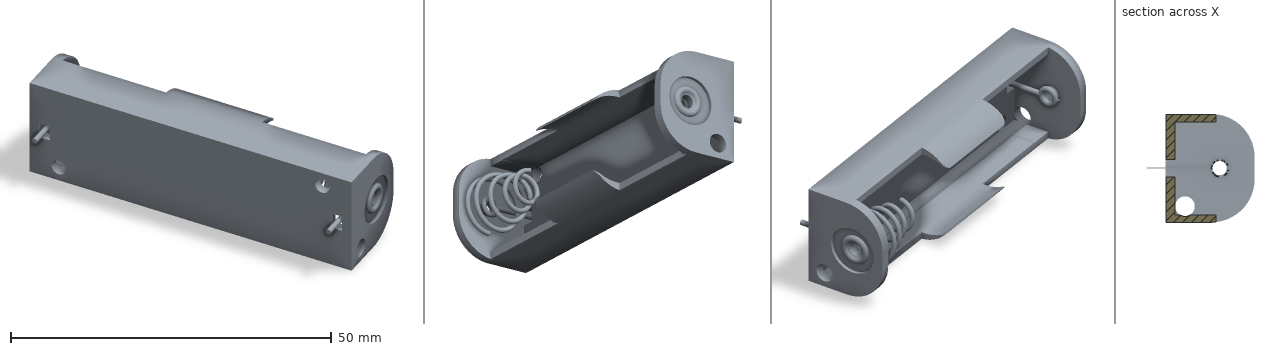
import cadquery as cq
import math


length = 57.0
height = 13.9
width = 16.89
corner_radius = 6.73
wall = 1.65
rim_height = 7.85
trough_radius = 7.2
trough_axis_y = 8.25
floor = 1.5
axis_y = width / 2

clip_length = 17.0
clip_height = 12.53
clip_start = 20.0
clip_corner = 1.2

screw_diameter = 2.55
screw_inset = 5.2
screw_offset = 6.0
wire_hole_diameter = 3.05
wire_hole_y = 3.03
wire_hole_z = -5.94
recess_diameter = 8.0
recess_depth = 0.6
slot_length = 2.0
slot_width = 2.65

pin_diameter = 0.9
pin_radius = pin_diameter / 2
pin_x = 2.5
pin_length = 3.0
ring_radius = 1.3
barb_top = axis_y + 2.4
barb_radius = 0.25

barrel_radius = 1.4
bore_radius = 1.1
head_radius = 2.5
head_crest_radius = 1.95
head_height = 0.55
funnel_radius = 1.4
funnel_depth = 0.2

wire_diameter = 0.8
small_radius = 2.5
large_radius = 4.4
turns = 4.5
open_from = 0.5
open_to = 3.75
closed_pitch = 2.0
open_pitch = 2.7
taper_from = 1.05
taper_to = 3.2
points_per_turn = 16


def block(x0, x1, y0, y1, z_size):
    """Box between two X and two Y values, centered on Z = 0."""
    return cq.Workplane("XY").box(x1 - x0, y1 - y0, z_size).translate(((x0 + x1) / 2, (y0 + y1) / 2, 0))


def rod_x(x0, x1, y, z, radius):
    """Cylinder along X."""
    return cq.Workplane("YZ", origin=(x0, y, z)).circle(radius).extrude(x1 - x0)


def rod_y(x, y0, y1, z, radius):
    """Cylinder along Y."""
    return cq.Workplane("XZ", origin=(x, y0, z)).circle(radius).extrude(y0 - y1)


def other_end(body):
    """Mirror image of a body about the middle of the holder's length."""
    return body.mirror("YZ", (length / 2, 0, 0))


def make_side_profile():
    """Side outline of the long walls, with the raised clip in the middle."""
    clip = block(clip_start, clip_start + clip_length, 0, clip_height, width)
    clip = clip.edges("|Z and >Y").fillet(clip_corner)
    return block(wall, length - wall, 0, rim_height, width).union(clip)


def make_trough():
    """Battery space: flat floor and straight sides below the axis, round above it."""
    lower = block(wall, length - wall, floor, trough_axis_y, 2 * trough_radius)
    upper = block(wall, length - wall, trough_axis_y, height, 2 * trough_radius)
    return upper.intersect(rod_x(wall, length - wall, trough_axis_y, 0, trough_radius)).union(lower)


def make_housing():
    outer = block(0, length, 0, height, width).edges("|X and >Y").fillet(corner_radius)
    middle = outer.intersect(make_side_profile()).cut(make_trough())
    end_wall = outer.intersect(block(0, wall, 0, height, width))
    body = middle.union(end_wall).union(other_end(end_wall))

    recess = rod_x(0, recess_depth, trough_axis_y, 0, recess_diameter / 2)
    rivet_hole = rod_x(0, wall, axis_y, 0, barrel_radius)
    slot = block(wall, wall + slot_length, 0, floor, slot_width)
    for opening in (recess, rivet_hole, slot):
        body = body.cut(opening).cut(other_end(opening))

    for x, z in ((screw_inset, -screw_offset), (length - screw_inset, screw_offset)):
        body = body.cut(rod_y(x, 0, height, z, screw_diameter / 2))

    return body.cut(rod_x(0, length, wire_hole_y, wire_hole_z, wire_hole_diameter / 2))


def make_rivet():
    """Hollow rivet with a domed head in the recess, its barrel reaching the wire ring."""
    barrel_end = pin_x - pin_radius
    return (
        cq.Workplane("XY")
        .moveTo(recess_depth, axis_y + head_radius)
        .threePointArc(
            (recess_depth - head_height, axis_y + head_crest_radius),
            (recess_depth - funnel_depth, axis_y + funnel_radius),
        )
        .lineTo(recess_depth, axis_y + bore_radius)
        .lineTo(barrel_end, axis_y + bore_radius)
        .lineTo(barrel_end, axis_y + barrel_radius)
        .lineTo(recess_depth, axis_y + barrel_radius)
        .close()
        .revolve(360, (0, axis_y, 0), (1, axis_y, 0))
    )


def make_contact_pin():
    """Straight pin ending in a wire ring around the rivet axis, with a small barb on top."""
    ring = cq.Workplane(cq.Solid.makeTorus(
        ring_radius, pin_radius, cq.Vector(pin_x, axis_y, 0), cq.Vector(1, 0, 0)))
    shank = rod_y(pin_x, -pin_length, axis_y - ring_radius, 0, pin_radius)
    barb_base = axis_y + ring_radius
    barb = cq.Workplane(cq.Solid.makeCone(
        barb_radius, 0, barb_top - barb_base, cq.Vector(pin_x, barb_base, 0), cq.Vector(0, 1, 0)))
    return ring.union(shank).union(barb)


def spring_point(turn):
    """Point on the spring's center line, counted in turns from the free end."""
    open_left = min(max(open_to - turn, 0), open_to - open_from)
    closed_left = turns - turn - open_left
    x = length - wall - wire_diameter / 2 - open_left * open_pitch - closed_left * closed_pitch
    taper = min(max((turn - taper_from) / (taper_to - taper_from), 0), 1)
    radius = small_radius + taper * (large_radius - small_radius)
    angle = 2 * math.pi * turn
    return cq.Vector(x, axis_y + radius * math.sin(angle), radius * math.cos(angle))


def make_spring():
    steps = round(turns * points_per_turn)
    center_line = cq.Edge.makeSpline([spring_point(i / points_per_turn) for i in range(steps + 1)])
    start = cq.Plane(center_line.startPoint(), normal=center_line.tangentAt(0))
    path = cq.Workplane(cq.Wire.assembleEdges([center_line]))
    return cq.Workplane(start).circle(wire_diameter / 2).sweep(path, isFrenet=True)


housing = make_housing()
rivet = make_rivet()
contact_pin = make_contact_pin()
spring = make_spring()

end_bodies = []
for body in (rivet, contact_pin):
    end_bodies += [*body.solids().vals(), *other_end(body).solids().vals()]

result = cq.Compound.makeCompound([*housing.solids().vals(), *end_bodies, *spring.solids().vals()])